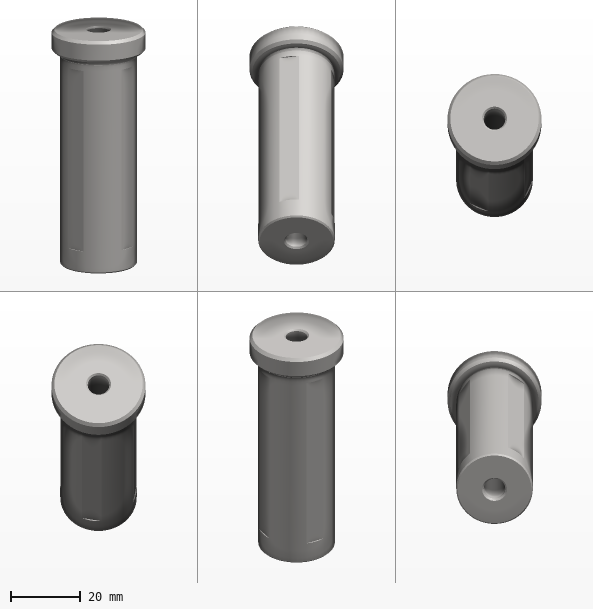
import cadquery as cq

total_height = 69.85
head_diameter = 27.0
head_height = 6.4
head_chamfer = 0.85
body_diameter = 22.0
body_end_chamfer = 0.4

neck_diameter = 21.6
neck_height = 1.25

bore_diameter = 6.2
bore_chamfer = 0.5

flat_count = 4
flat_width = 5.7
flat_bottom = 6.4
flat_top = 60.2

body_radius = body_diameter / 2
head_bottom = total_height - head_height
body_height = head_bottom - neck_height
flat_distance = (body_radius**2 - (flat_width / 2) ** 2) ** 0.5


def cylinder(diameter, bottom, height):
    """Cylinder on the Z axis standing on the given level."""
    return cq.Workplane("XY").workplane(offset=bottom).circle(diameter / 2).extrude(height)


def flat_cutter(angle):
    """Block that removes the body segment outside one flat."""
    cut_depth = body_radius - flat_distance
    height = flat_top - flat_bottom
    return (
        cq.Workplane("XY")
        .box(2 * cut_depth, flat_width, height, centered=(False, True, False))
        .translate((flat_distance, 0, flat_bottom))
        .rotate((0, 0, 0), (0, 0, 1), angle)
    )


body = cylinder(body_diameter, 0, body_height).faces("<Z").edges().chamfer(body_end_chamfer)
for index in range(flat_count):
    body = body.cut(flat_cutter(index * 360 / flat_count))

neck = cylinder(neck_diameter, body_height, neck_height)
head = cylinder(head_diameter, head_bottom, head_height).edges("%CIRCLE").chamfer(head_chamfer)

bushing = body.union(neck).union(head).cut(cylinder(bore_diameter, 0, total_height))
bore_rims = bushing.edges(cq.selectors.RadiusNthSelector(0))
result = bore_rims.chamfer(bore_chamfer)